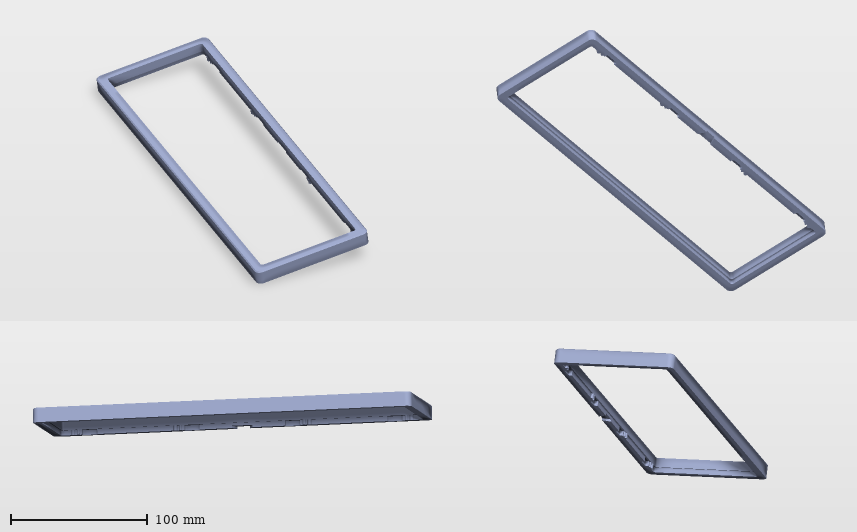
import cadquery as cq
import math

length = 281.6
span_y = 91.5
span_z = 21.7
tilt = 7.0

wall = 7.0
corner_radius = 4.5
inner_radius = 1.7
edge_chamfer = 0.8
lip_height = 7.0
rebate_depth = 1.0

station_centers = (41.7, 117.7)
pocket_offset = -4.2
pocket_width = 11.3
pocket_depth = 2.5
pocket_fillet = 1.5
ribs = ((4.2, 2.08), (8.2, 3.0))

notch_inner_width = 15.2
notch_outer_width = 9.3
notch_height = 1.7

cos_tilt = math.cos(math.radians(tilt))
sin_tilt = math.sin(math.radians(tilt))
chamfer_loss = edge_chamfer * sin_tilt
sharp_y = span_y + chamfer_loss
sharp_z = span_z + chamfer_loss
width = (sharp_y * cos_tilt - sharp_z * sin_tilt) / math.cos(math.radians(2 * tilt))
thickness = (sharp_z * cos_tilt - sharp_y * sin_tilt) / math.cos(math.radians(2 * tilt))

opening_x = length - 2 * wall
opening_y = width - 2 * wall
rebate_x = opening_x + 2 * rebate_depth
rebate_y = opening_y + 2 * rebate_depth
rebate_height = thickness - lip_height
rebate_wall_y = rebate_y / 2
back_y = width / 2


def rounded_block(size_x, size_y, height, radius):
    """Block standing on Z = 0, centred on the origin, with rounded upright edges."""
    return cq.Workplane("XY").rect(size_x, size_y).extrude(height).edges("|Z").fillet(radius)


def make_frame():
    """Rectangular ring, chamfered outside on top and rebated inside at the bottom."""
    ring = rounded_block(length, width, thickness, corner_radius)
    ring = ring.faces(">Z").chamfer(edge_chamfer)
    ring = ring.cut(rounded_block(opening_x, opening_y, thickness, inner_radius))
    return ring.cut(rounded_block(rebate_x, rebate_y, rebate_height, inner_radius))


def make_pocket(x):
    """Cutter for a round-cornered pocket going back from the rebate wall."""
    pocket = rounded_block(pocket_width, 2 * pocket_depth, rebate_height, pocket_fillet)
    return pocket.translate((x, rebate_wall_y, 0))


def make_rib(x, diameter):
    """Round rib, half buried in the rebate wall, from the underside up to the lip."""
    return cq.Workplane("XY").center(x, rebate_wall_y).circle(diameter / 2).extrude(rebate_height)


def make_notch():
    """Cutter for the cable notch, narrowing towards the outer back face."""
    outline = [
        (-notch_inner_width / 2, rebate_wall_y),
        (notch_inner_width / 2, rebate_wall_y),
        (notch_outer_width / 2, back_y),
        (-notch_outer_width / 2, back_y),
    ]
    return cq.Workplane("XY").polyline(outline).close().extrude(notch_height)


frame = make_frame()
for side in (-1, 1):
    for center in station_centers:
        frame = frame.cut(make_pocket(side * (center + pocket_offset)))
        for offset, diameter in ribs:
            frame = frame.union(make_rib(side * (center + offset), diameter))
frame = frame.cut(make_notch())

result = frame.rotate((0, 0, 0), (1, 0, 0), tilt)